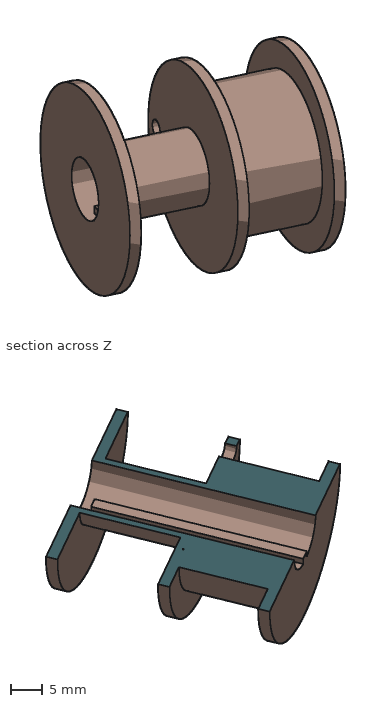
import cadquery as cq

flange_diameter = 35.0
flange_thickness = 2.0
tube_diameter = 12.9
tube_length = 17.0
drum_diameter = 25.6
drum_length = 15.0
bore_diameter = 10.5

key_width = 1.8
key_top_z = -3.95
key_root_z = -(bore_diameter + tube_diameter) / 4

cord_hole_diameter = 3.0
cord_hole_x = -(drum_diameter + cord_hole_diameter) / 2

tube_start = flange_thickness
middle_flange_start = tube_start + tube_length
drum_start = middle_flange_start + flange_thickness
rear_flange_start = drum_start + drum_length
total_length = rear_flange_start + flange_thickness


def cylinder(diameter, start, length, x=0.0):
    """Cylinder parallel to Y, running from Y = start toward +Y."""
    base = cq.Workplane("XZ", origin=(x, start, 0))
    return base.circle(diameter / 2).extrude(-length)


def spool_body():
    """Tube and drum joined by three equal flanges."""
    body = cylinder(tube_diameter, tube_start, tube_length)
    body = body.union(cylinder(drum_diameter, drum_start, drum_length))
    for start in (0.0, middle_flange_start, rear_flange_start):
        body = body.union(cylinder(flange_diameter, start, flange_thickness))
    return body


def key_rib():
    """Rectangular rib from the back of the front flange to the rear face."""
    return cq.Workplane("XY").box(
        key_width,
        total_length - tube_start,
        key_top_z - key_root_z,
        centered=(True, False, False),
    ).translate((0, tube_start, key_root_z))


bore = cylinder(bore_diameter, 0.0, total_length)
cord_hole = cylinder(cord_hole_diameter, middle_flange_start, flange_thickness, cord_hole_x)

result = spool_body().cut(bore).union(key_rib()).cut(cord_hole)